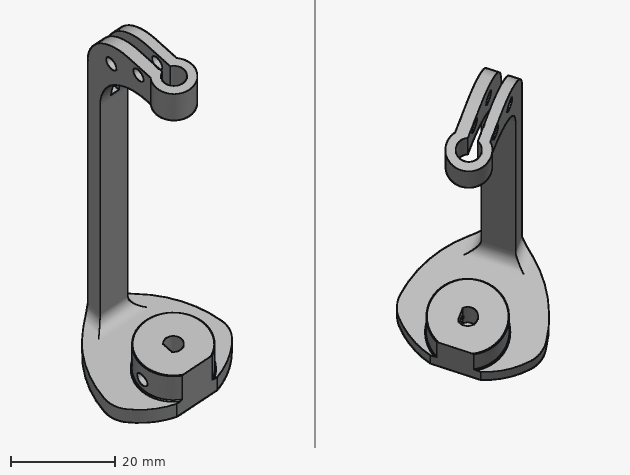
import cadquery as cq
import math

TOTAL_HEIGHT = 92.0

BASE_THICKNESS = 4.0
BACK_RADIUS = 21.49
FRONT_FLAT_X = 7.0
SIDE_ARC_RADIUS = 25.5
BASE_HALF_WIDTH = 15.0
FRONT_ARC_RADIUS = 17.75
FRONT_ARC_CENTRE_X = -10.0
BASE_CORNER_RADIUS = 6.0

HUB_RADIUS = 7.95
HUB_HEIGHT = 7.5
HUB_CHAMFER = 0.15
HUB_ROOT_FLARE = 0.25
BORE_RADIUS = 2.0
BORE_FLAT_OFFSET = 1.5
SCREW_DIAMETER = 3.0
SET_SCREW_Z = 7.0

ARM_WIDTH = 7.0
ARM_THICKNESS = 4.0
ARM_TOP_HEIGHT = 8.0
ARM_OUTER_RADIUS = 12.0
ARM_INNER_RADIUS = 14.0
FOOT_FILLET = 3.0

CLAMP_RADIUS = 4.5
CLAMP_OFFSET_X = -0.05
CLAMP_OFFSET_Y = 0.2
CLAMP_HOLE_DIAMETER = 5.0
SLOT_WIDTH = 2.0
SLOT_DEPTH = 21.0
CLAMP_SCREW_POSITIONS = [(-14.2, 85.5), (-6.2, 89.5)]

ARM_BACK_X = -BACK_RADIUS
ARM_FRONT_X = ARM_BACK_X + ARM_THICKNESS
ARM_EDGE_X = -math.sqrt(BACK_RADIUS**2 - (ARM_WIDTH / 2) ** 2)
ARM_UNDERSIDE_Z = TOTAL_HEIGHT - ARM_TOP_HEIGHT


def disc(x, y, radius, height):
    """Upright cylinder standing on Z = 0."""
    return cq.Workplane("XY").center(x, y).circle(radius).extrude(height)


def box(x_range, y_range, z_range):
    """Axis-aligned block given by its limits."""
    size = [high - low for low, high in (x_range, y_range, z_range)]
    corner = (x_range[0], y_range[0], z_range[0])
    return cq.Workplane("XY").box(*size, centered=False).translate(corner)


def cross_hole(x, z, y_start, length):
    """Screw hole running along +Y from y_start."""
    plane = cq.Plane(origin=(x, y_start, z), xDir=(1, 0, 0), normal=(0, 1, 0))
    return cq.Workplane(plane).circle(SCREW_DIAMETER / 2).extrude(length)


def back_limit(height):
    """Cylinder about the hub axis that gives the part its curved rear face."""
    return disc(0, 0, BACK_RADIUS, height)


def base_outline(height):
    """Base outline raised to the given height."""
    span_y = (-BACK_RADIUS, BACK_RADIUS)
    side_centre_y = SIDE_ARC_RADIUS - BASE_HALF_WIDTH
    outline = disc(0, -side_centre_y, SIDE_ARC_RADIUS, height)
    outline = outline.intersect(disc(0, side_centre_y, SIDE_ARC_RADIUS, height))

    behind_front_arc = box((-SIDE_ARC_RADIUS, FRONT_ARC_CENTRE_X), span_y, (0, height))
    front_disc = disc(FRONT_ARC_CENTRE_X, 0, FRONT_ARC_RADIUS, height)
    outline = outline.intersect(front_disc.union(behind_front_arc))
    corner_zone = cq.selectors.BoxSelector(
        (FRONT_ARC_CENTRE_X, -BACK_RADIUS, 0), (FRONT_FLAT_X, BACK_RADIUS, height)
    )
    outline = outline.edges("|Z").edges(corner_zone).fillet(BASE_CORNER_RADIUS)

    behind_front_flat = box((-SIDE_ARC_RADIUS, FRONT_FLAT_X), span_y, (0, height))
    return outline.intersect(behind_front_flat).intersect(back_limit(height))


def foot():
    """Mitred concave fillets where the arm meets the base plate."""
    top = BASE_THICKNESS + FOOT_FILLET
    outer_y = ARM_WIDTH / 2 + FOOT_FILLET
    outer_x = ARM_FRONT_X + FOOT_FILLET
    block = box((ARM_BACK_X, outer_x), (-outer_y, outer_y), (0, top))
    groove = cq.Workplane("XZ").center(outer_x, top).circle(FOOT_FILLET)
    lengthwise = block.cut(groove.extrude(outer_y, both=True))
    crosswise = block
    for y in (-outer_y, outer_y):
        groove = cq.Workplane("YZ").center(y, top).circle(FOOT_FILLET)
        crosswise = crosswise.cut(groove.extrude(BACK_RADIUS, both=True))
    return lengthwise.intersect(crosswise).intersect(base_outline(top))


def hub():
    """Round hub trimmed by the front flat of the base."""
    hub_top = BASE_THICKNESS + HUB_HEIGHT
    root_radius = HUB_RADIUS + HUB_ROOT_FLARE
    profile = (
        cq.Workplane("XZ")
        .lineTo(root_radius, 0)
        .lineTo(root_radius, BASE_THICKNESS)
        .lineTo(HUB_RADIUS, BASE_THICKNESS + HUB_ROOT_FLARE)
        .lineTo(HUB_RADIUS, hub_top - HUB_CHAMFER)
        .lineTo(HUB_RADIUS - HUB_CHAMFER, hub_top)
        .lineTo(0, hub_top)
        .close()
    )
    body = profile.revolve(360, (0, 0, 0), (0, 1, 0))
    return body.intersect(box((-root_radius, FRONT_FLAT_X), (-root_radius, root_radius), (0, hub_top)))


def hub_bore():
    """D-shaped bore in the hub, ending level with the base top."""
    bore = disc(0, 0, BORE_RADIUS, HUB_HEIGHT)
    d_limit = box((-BORE_RADIUS, BORE_RADIUS), (-BORE_FLAT_OFFSET, BORE_RADIUS), (0, HUB_HEIGHT))
    return bore.intersect(d_limit).translate((0, 0, BASE_THICKNESS))


def arm():
    """Upright with a rear face on the back radius, and a curved top set in to its rear edges."""
    outer_start_z = TOTAL_HEIGHT - ARM_OUTER_RADIUS
    inner_start_z = ARM_UNDERSIDE_Z - ARM_INNER_RADIUS
    inner_end_x = ARM_FRONT_X + ARM_INNER_RADIUS
    profile = (
        cq.Workplane("XZ")
        .moveTo(ARM_BACK_X, 0)
        .lineTo(ARM_BACK_X, outer_start_z)
        .lineTo(ARM_EDGE_X, outer_start_z)
        .radiusArc((ARM_EDGE_X + ARM_OUTER_RADIUS, TOTAL_HEIGHT), ARM_OUTER_RADIUS)
        .lineTo(0, TOTAL_HEIGHT)
        .lineTo(0, ARM_UNDERSIDE_Z)
        .lineTo(inner_end_x, ARM_UNDERSIDE_Z)
        .radiusArc((ARM_FRONT_X, inner_start_z), -ARM_INNER_RADIUS)
        .lineTo(ARM_FRONT_X, 0)
        .close()
    )
    return profile.extrude(ARM_WIDTH / 2, both=True).intersect(back_limit(TOTAL_HEIGHT))


def clamp():
    """Round clamp body at the end of the arm."""
    clamp_body = disc(CLAMP_OFFSET_X, CLAMP_OFFSET_Y, CLAMP_RADIUS, ARM_TOP_HEIGHT)
    return clamp_body.translate((0, 0, ARM_UNDERSIDE_Z))


def clamp_cuts():
    """Clamp hole, the slot that splits the arm, and the clamping screw holes."""
    cuts = disc(CLAMP_OFFSET_X, CLAMP_OFFSET_Y, CLAMP_HOLE_DIAMETER / 2, ARM_TOP_HEIGHT)
    cuts = cuts.translate((0, 0, ARM_UNDERSIDE_Z))
    slot_y = (CLAMP_OFFSET_Y - SLOT_WIDTH / 2, CLAMP_OFFSET_Y + SLOT_WIDTH / 2)
    slot = box((ARM_BACK_X, 0), slot_y, (TOTAL_HEIGHT - SLOT_DEPTH, TOTAL_HEIGHT))
    cuts = cuts.union(slot)
    for x, z in CLAMP_SCREW_POSITIONS:
        cuts = cuts.union(cross_hole(x, z, -ARM_WIDTH, 2 * ARM_WIDTH))
    return cuts


body = base_outline(BASE_THICKNESS).union(foot()).union(hub()).union(arm()).union(clamp())
set_screw_hole = cross_hole(0, SET_SCREW_Z, -HUB_RADIUS, HUB_RADIUS)
result = body.cut(hub_bore()).cut(set_screw_hole).cut(clamp_cuts())